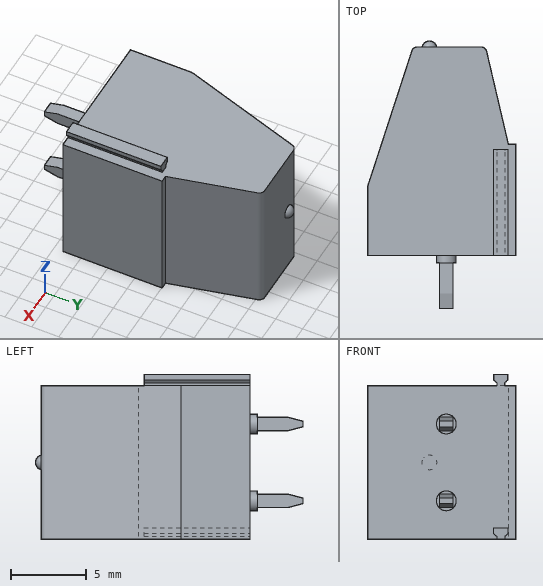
import cadquery as cq

body_width = 9.8
body_depth = 13.8
body_height = 10.16
left_side_depth = 4.58
left_slope_inset = 3.01
right_slope_inset = 2.0
step_depth = 7.38
step_width = 0.5
back_corner_radius = 0.4

rail_height = 0.75
rail_length = 7.01
rail_head_width = 0.94
rail_neck_width = 0.53
rail_neck_height = 0.18
rail_slant_height = 0.2
rail_side_gap = 0.53
rail_x = body_width - rail_side_gap - rail_head_width / 2

pin_count = 2
pin_x = 5.2
pin_pitch = body_height / pin_count
collar_diameter = 1.31
collar_length = 0.48
pin_length = 3.5
pin_size = 0.9
pin_tip_height = 0.37
pin_taper_length = 1.0

button_x = 4.09
button_height = 0.39
button_diameter = 0.97


def make_housing():
    back_right_x = body_width - right_slope_inset
    outline = [
        (0, 0),
        (body_width, 0),
        (body_width, step_depth),
        (body_width - step_width, step_depth),
        (back_right_x, body_depth),
        (left_slope_inset, body_depth),
        (0, left_side_depth),
    ]
    housing = cq.Workplane("XY").polyline(outline).close().extrude(body_height)
    return housing.faces(">Y").edges("|Z").fillet(back_corner_radius)


def make_dovetail(base_z):
    """Bar with a narrow neck on base_z and a wide head, running back from the front face."""
    half_neck = rail_neck_width / 2
    half_head = rail_head_width / 2
    head_start = rail_neck_height + rail_slant_height
    right_half = [
        (half_neck, 0),
        (half_neck, rail_neck_height),
        (half_head, head_start),
        (half_head, rail_height),
    ]
    left_half = [(-x, z) for x, z in reversed(right_half)]
    front = cq.Workplane("XZ", origin=(rail_x, 0, base_z))
    return front.polyline(right_half + left_half).close().extrude(-rail_length)


def make_pin(center_z):
    """Round collar and square pin whose top and bottom taper to the tip."""
    front = cq.Workplane("XZ", origin=(pin_x, 0, center_z))
    collar = front.circle(collar_diameter / 2).extrude(collar_length)
    taper_start = pin_length - pin_taper_length
    upper_half = [
        (0, pin_size / 2),
        (-taper_start, pin_size / 2),
        (-pin_length, pin_tip_height / 2),
    ]
    lower_half = [(y, -z) for y, z in reversed(upper_half)]
    side = cq.Workplane("YZ", origin=(pin_x, 0, center_z))
    blade = side.polyline(upper_half + lower_half).close().extrude(pin_size / 2, both=True)
    return collar.union(blade)


def make_button():
    """Spherical cap centred on the height of the back face."""
    base_radius = button_diameter / 2
    sphere_radius = (base_radius**2 + button_height**2) / (2 * button_height)
    center = (button_x, body_depth + button_height - sphere_radius, body_height / 2)
    return cq.Workplane("XY").sphere(sphere_radius).translate(center)


result = make_housing()
result = result.cut(make_dovetail(0))
result = result.union(make_dovetail(body_height))
for pin_index in range(pin_count):
    result = result.union(make_pin((pin_index + 0.5) * pin_pitch))
result = result.union(make_button())